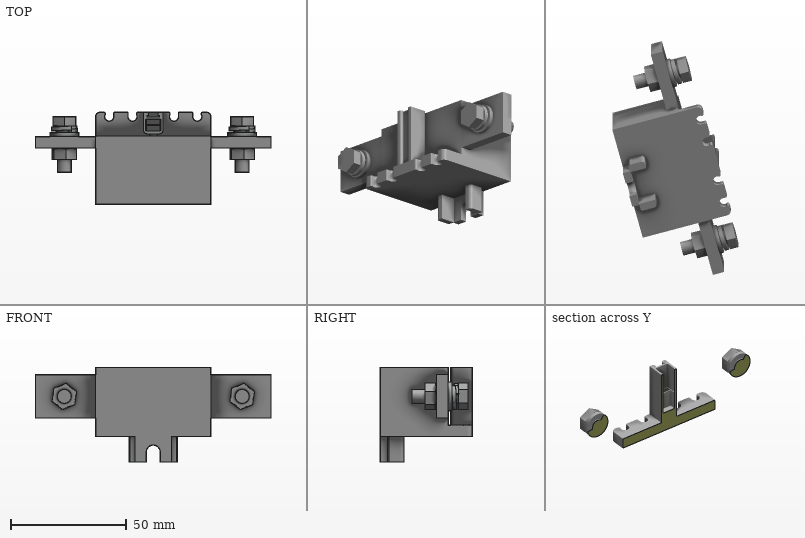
import cadquery as cq
import math


housing_width = 50.0
housing_height = 30.0
housing_depth = 29.6
total_depth = 40.0
flange_thickness = 5.0
flange_corner_radius = 2.0

notch_centers = (9.0, 19.1)
notch_radius = 1.9
notch_edge_radius = 0.5
lip_radius = 0.8
notch_lip_reach = 0.3

bar_length = 102.0
bar_height = 18.8
bar_thickness = 5.0
bar_back = 29.4
bar_middle_z = 17.4

post_width = 8.4
post_depth = 9.4
post_corner_radius = 1.5
groove_width = 5.2
groove_depth = 2.1
groove_lip_radius = 1.0
groove_lip_reach = 0.6
groove_lip_thickness = 1.4
socket_width = 6.5
socket_length = 5.2
socket_front_wall = 1.2
socket_depth = 12.2
socket_corner_chamfer = 0.3
pocket_inset = 0.3
pocket_rib = 0.3
front_pocket_length = 2.4
pocket_depth = 8.2
pin_diameter = 3.5

foot_height = 11.0
foot_plate_width = 15.6
foot_plate_thickness = 3.2
foot_width = 21.2
foot_depth = 10.4
foot_leg_width = 3.3
foot_front_chamfer = 0.6
foot_rear_radius = 1.5
foot_slot_width = 5.9
foot_slot_height = 7.3

bolt_spacing = 77.0
bolt_diameter = 6.0
bolt_reach = 5.5
hex_flats = 10.0
hex_corners = hex_flats / math.cos(math.radians(30))
head_thickness = 4.0
nut_thickness = 5.0
nut_turn = 8.0
nut_chamfer = 0.5
washer_diameter = 12.5
washer_thickness = 1.7
spring_diameter = 11.2
spring_thickness = 1.6
spring_pitch = 1.2
spring_sink = 0.1
spring_bore_radius = bolt_diameter / 2 - spring_sink
spring_start_angle = 57.0
spring_overlap_angle = 45.0
spring_overlap_inset = 0.02
spring_overlap_rise = spring_pitch * spring_overlap_angle / 360
spring_bite = 0.05


def box(width, y_min, y_max, z_min, z_max, x_middle=0.0):
    """A block centred on x_middle."""
    block = cq.Workplane("XY").box(width, y_max - y_min, z_max - z_min, centered=(True, False, False))
    return block.translate((x_middle, y_min, z_min))


def upright_rod(radius, x, y, z_min, z_max):
    return cq.Workplane("XY").circle(radius).extrude(z_max - z_min).translate((x, y, z_min))


def rod_along_y(diameter, y_min, y_max):
    """A rod on the Y axis."""
    return cq.Workplane("XZ", origin=(0, y_max, 0)).circle(diameter / 2).extrude(y_max - y_min)


def hex_along_y(y_min, y_max):
    """A hexagonal prism on the Y axis with corners pointing up and down."""
    prism = cq.Workplane("XZ", origin=(0, y_max, 0)).polygon(6, hex_corners).extrude(y_max - y_min)
    return prism.rotate((0, 0, 0), (0, 1, 0), 90)


def make_notch(x, lip_side):
    """Round-bottomed notch; a rounded lip narrows its mouth on the lip_side (-1 or 1)."""
    mouth = total_depth - notch_radius
    notch = upright_rod(notch_radius, x, mouth, 0, flange_thickness)
    notch = notch.union(box(2 * notch_radius, mouth, total_depth, 0, flange_thickness, x))

    edge_x = x - lip_side * (notch_radius + notch_edge_radius / 2)
    round_x = x - lip_side * (notch_radius + notch_edge_radius)
    round_y = total_depth - notch_edge_radius
    edge = box(notch_edge_radius, round_y, total_depth, 0, flange_thickness, edge_x)
    edge = edge.cut(upright_rod(notch_edge_radius, round_x, round_y, 0, flange_thickness))

    lip_x = x + lip_side * (notch_radius - notch_lip_reach + lip_radius)
    corner_width = lip_radius - notch_lip_reach
    corner_x = x + lip_side * (notch_radius + corner_width / 2)
    corner = box(corner_width, total_depth - lip_radius, total_depth, 0, flange_thickness, corner_x)
    lip = upright_rod(lip_radius, lip_x, total_depth - lip_radius, 0, flange_thickness)
    return notch.union(edge).union(corner).cut(lip)


def make_housing():
    housing = box(housing_width, 0, housing_depth, 0, housing_height)
    flange = box(housing_width, 0, total_depth, 0, flange_thickness)
    flange = flange.edges("|Z and >Y").fillet(flange_corner_radius)
    inner, outer = notch_centers
    for side in (-1, 1):
        flange = flange.cut(make_notch(side * inner, -side))
        flange = flange.cut(make_notch(side * outer, side))
    return housing.union(flange)


def make_post():
    """Socket post with a lipped groove in its back and a pin joining it to the housing."""
    front = total_depth - post_depth
    top = housing_height
    post = box(post_width, front, total_depth, flange_thickness, top)
    post = post.edges("|Z and <Y").fillet(post_corner_radius)

    lip_layer = box(post_width, total_depth - groove_lip_thickness, total_depth, flange_thickness, top)
    groove = box(groove_width, total_depth - groove_depth, total_depth, flange_thickness, top)
    for side in (-1, 1):
        lip_x = side * (groove_width / 2 - groove_lip_reach + groove_lip_radius)
        lip_y = total_depth - groove_lip_radius
        corner_width = groove_lip_radius - groove_lip_reach
        corner_x = side * (groove_width / 2 + corner_width / 2)
        groove = groove.union(box(corner_width, lip_y, total_depth, flange_thickness, top, corner_x))
        lip = upright_rod(groove_lip_radius, lip_x, lip_y, flange_thickness, top)
        groove = groove.cut(lip.intersect(lip_layer))
    post = post.cut(groove)

    socket_front = front + socket_front_wall
    socket_back = socket_front + socket_length
    floor = top - socket_depth
    socket = box(socket_width, socket_front, socket_back, floor, top)
    post = post.cut(socket.edges("|Z").chamfer(socket_corner_chamfer))
    pocket_width = socket_width - 2 * pocket_inset
    rib_front = socket_front + front_pocket_length
    rib_back = rib_front + pocket_rib
    pocket_floor = floor - pocket_depth
    post = post.cut(box(pocket_width, socket_front, rib_front, pocket_floor, floor))
    post = post.cut(box(pocket_width, rib_back, socket_back - pocket_inset, pocket_floor, floor))

    pin = rod_along_y(pin_diameter, housing_depth, front).translate((0, 0, bar_middle_z))
    return post.union(pin)


def make_foot():
    """Front plate with an open slot, and a rounded leg behind each of its sides."""
    foot = box(foot_width, foot_plate_thickness, foot_depth, -foot_height, 0)
    foot = foot.edges("|Z and <Y").chamfer(foot_front_chamfer)
    foot = foot.edges("|Z and >Y").fillet(foot_rear_radius)
    gap_between_legs = foot_width - 2 * foot_leg_width
    foot = foot.cut(box(gap_between_legs, foot_plate_thickness, foot_depth, -foot_height, 0))
    foot = foot.union(box(foot_plate_width, 0, foot_plate_thickness, -foot_height, 0))

    slot_radius = foot_slot_width / 2
    arch_z = foot_slot_height - slot_radius - foot_height
    arch = rod_along_y(foot_slot_width, 0, foot_plate_thickness).translate((0, 0, arch_z))
    slot = box(foot_slot_width, 0, foot_plate_thickness, -foot_height, arch_z)
    return foot.cut(arch.union(slot))


def make_helical_ring(rise, y_min, inset=0.0):
    """A rectangular strip wound around the Y axis; the inset moves it towards the axis."""
    radial_width = spring_diameter / 2 - spring_bore_radius
    middle_radius = spring_diameter / 2 - radial_width / 2 - inset
    path = cq.Wire.makeHelix(spring_pitch, rise, middle_radius)
    section = cq.Workplane("XZ", origin=(middle_radius, 0, 0)).rect(radial_width, spring_thickness)
    ring = section.sweep(cq.Workplane(obj=path), isFrenet=True)
    ring = ring.rotate((0, 0, 0), (1, 0, 0), -90)
    ring = ring.rotate((0, 0, 0), (0, 1, 0), -spring_start_angle)
    return ring.translate((0, y_min + spring_thickness / 2, 0))


def make_nut(y_min, y_max):
    """Hexagonal nut with the corners bevelled on the face that meets the bar."""
    nut = hex_along_y(y_min, y_max)
    envelope = rod_along_y(hex_corners, y_min, y_max).faces(">Y").chamfer(nut_chamfer, 2 * nut_chamfer)
    return nut.intersect(envelope).rotate((0, 0, 0), (0, 1, 0), nut_turn)


def make_fastener():
    """Bolt along Y with its head at the back, washers under the head and a nut in front."""
    bar_front = bar_back - bar_thickness
    nut_front = bar_front - nut_thickness
    spring_front = bar_back + washer_thickness
    spring_height = spring_thickness + spring_pitch + spring_overlap_rise
    head_front = spring_front + spring_height - 2 * spring_bite
    fastener = rod_along_y(bolt_diameter, nut_front - bolt_reach, head_front)
    fastener = fastener.union(hex_along_y(head_front, head_front + head_thickness))
    fastener = fastener.union(rod_along_y(washer_diameter, bar_back, spring_front))

    turn_front = spring_front - spring_bite
    overlap_front = turn_front + spring_pitch
    fastener = fastener.union(make_helical_ring(spring_pitch, turn_front))
    fastener = fastener.union(make_helical_ring(spring_overlap_rise, overlap_front, spring_overlap_inset))
    return fastener.union(make_nut(nut_front, bar_front))


bar_bottom = bar_middle_z - bar_height / 2
bar = box(bar_length, bar_back - bar_thickness, bar_back, bar_bottom, bar_bottom + bar_height)
result = make_housing().union(bar).union(make_post()).union(make_foot())
fastener = make_fastener()
for side in (-1, 1):
    result = result.union(fastener.translate((side * bolt_spacing / 2, 0, bar_middle_z)))